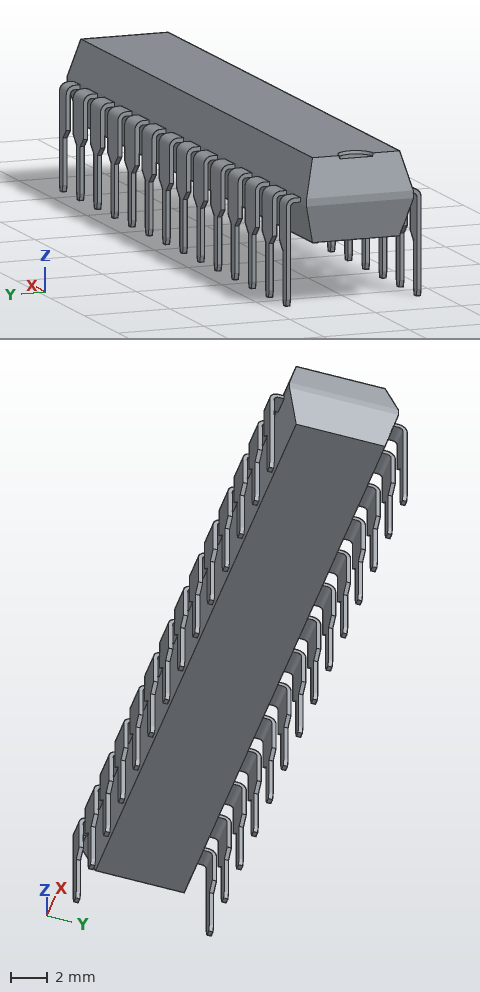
import cadquery as cq
import math

body_length = 35.4
body_width = 6.23
body_height = 4.7
band_height = 0.42
draft_angle = 15.0

notch_radius = 1.0
notch_depth = 0.18

leads_per_side = 14
lead_row_length = 33.03
lead_thickness = 0.25
lead_span = 7.85
overall_height = 8.2
shoulder_width = 1.52
pin_width = 0.53
bend_radius = 0.5
shoulder_taper = 0.5
tip_height = 0.4
tip_inset = 0.1
lead_embed = 0.35

half_height = body_height / 2
half_band = band_height / 2
draft_height = half_height - half_band
draft_inset = draft_height * math.tan(math.radians(draft_angle))
lead_pitch = lead_row_length / (leads_per_side - 1)
lead_top = lead_thickness / 2
tip_z = half_height - overall_height


def make_body():
    """Band with drafted halves and the pin-one notch."""
    band = cq.Workplane("XY").box(body_length, body_width, band_height)
    upper = (
        cq.Workplane("XY", origin=(0, 0, half_band))
        .rect(body_length, body_width)
        .extrude(draft_height, taper=draft_angle)
    )
    lower = upper.mirror("XY")
    notch = (
        cq.Workplane("XY", origin=(draft_inset - body_length / 2, 0, half_height))
        .circle(notch_radius)
        .extrude(-notch_depth, taper=draft_angle)
    )
    return band.union(upper).union(lower).cut(notch)


def make_bent_strip():
    """Constant-thickness L strip of the -Y row, as wide as a full shoulder and centred on X = 0."""
    outer_y = -lead_span / 2
    root_y = lead_embed - body_width / 2
    return (
        cq.Workplane("YZ", origin=(-shoulder_width / 2, 0, 0))
        .moveTo(root_y, lead_top)
        .lineTo(outer_y + bend_radius, lead_top)
        .radiusArc((outer_y, lead_top - bend_radius), -bend_radius)
        .lineTo(outer_y, tip_z)
        .lineTo(outer_y + lead_thickness, tip_z)
        .lineTo(outer_y + lead_thickness, lead_top - bend_radius)
        .radiusArc((outer_y + bend_radius, lead_top - lead_thickness), bend_radius - lead_thickness)
        .lineTo(root_y, lead_top - lead_thickness)
        .close()
        .extrude(shoulder_width)
    )


def make_lead(left_half_width, right_half_width):
    """Bent lead trimmed to its outline: shoulder, tapered step to the pin, narrowed tip."""
    half_pin = pin_width / 2
    half_tip = half_pin - tip_inset
    shoulder_z = -half_height
    pin_z = shoulder_z - shoulder_taper
    tip_start_z = tip_z + tip_height
    outline = (
        cq.Workplane("XZ")
        .polyline([
            (-left_half_width, lead_top),
            (right_half_width, lead_top),
            (right_half_width, shoulder_z),
            (half_pin, pin_z),
            (half_pin, tip_start_z),
            (half_tip, tip_z),
            (-half_tip, tip_z),
            (-half_pin, tip_start_z),
            (-half_pin, pin_z),
            (-left_half_width, shoulder_z),
        ])
        .close()
        .extrude(lead_span)
    )
    return make_bent_strip().intersect(outline)


def make_lead_row():
    """All leads of the -Y side; the end leads have no shoulder on their outward side."""
    leads = []
    for index in range(leads_per_side):
        left = pin_width / 2 if index == 0 else shoulder_width / 2
        right = pin_width / 2 if index == leads_per_side - 1 else shoulder_width / 2
        x = index * lead_pitch - lead_row_length / 2
        leads.append(make_lead(left, right).translate((x, 0, 0)))
    return leads


result = make_body()
for lead in make_lead_row():
    result = result.union(lead).union(lead.mirror("XZ"))